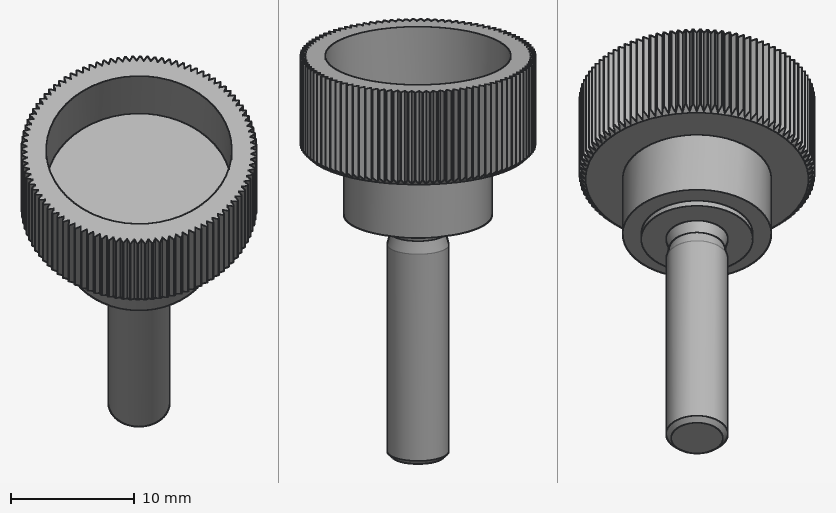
import cadquery as cq
import math

TOTAL_HEIGHT = 34.0
KNOB_DIAMETER = 19.0
KNOB_HEIGHT = 8.0
KNOB_CHAMFER = 0.5

RECESS_DIAMETER = 15.0
RECESS_DEPTH = 5.0

HUB_DIAMETER = 12.0
HUB_HEIGHT = 5.5
SHOULDER_DIAMETER = 9.0
SHOULDER_HEIGHT = 0.5

PIN_DIAMETER = 5.0
PIN_CHAMFER = 0.4
NECK_DIAMETER = 4.5
NECK_HEIGHT = 2.0

GROOVE_COUNT = 100
GROOVE_ANGLE = 60.0
TOOTH_TIP_WIDTH = 0.095

knob_bottom = TOTAL_HEIGHT - KNOB_HEIGHT
hub_bottom = knob_bottom - HUB_HEIGHT
shoulder_bottom = hub_bottom - SHOULDER_HEIGHT
neck_bottom = shoulder_bottom - NECK_HEIGHT


def knurl_outline():
    """Closed toothed outline with a groove bottom on the +X axis."""
    tip_radius = KNOB_DIAMETER / 2
    pitch_angle = 2 * math.pi / GROOVE_COUNT
    half_tip_angle = TOOTH_TIP_WIDTH / KNOB_DIAMETER
    half_groove_angle = pitch_angle / 2 - half_tip_angle
    half_groove_width = tip_radius * math.sin(half_groove_angle)
    groove_depth = half_groove_width / math.tan(math.radians(GROOVE_ANGLE / 2))
    root_radius = tip_radius * math.cos(half_groove_angle) - groove_depth

    points = []
    for index in range(GROOVE_COUNT):
        root_angle = index * pitch_angle
        tooth_angle = root_angle + pitch_angle / 2
        corners = (
            (root_radius, root_angle),
            (tip_radius, tooth_angle - half_tip_angle),
            (tip_radius, tooth_angle + half_tip_angle),
        )
        for radius, angle in corners:
            points.append((radius * math.cos(angle), radius * math.sin(angle)))
    return points


def make_knob():
    """Knurled head, chamfered at its lower rim and recessed from the top."""
    knurled = (
        cq.Workplane("XY")
        .workplane(offset=knob_bottom)
        .polyline(knurl_outline())
        .close()
        .extrude(KNOB_HEIGHT)
    )
    chamfered_envelope = (
        cq.Workplane("XY")
        .workplane(offset=knob_bottom)
        .circle(KNOB_DIAMETER / 2)
        .extrude(KNOB_HEIGHT)
        .faces("<Z")
        .chamfer(KNOB_CHAMFER)
    )
    recess = (
        cq.Workplane("XY")
        .workplane(offset=TOTAL_HEIGHT - RECESS_DEPTH)
        .circle(RECESS_DIAMETER / 2)
        .extrude(RECESS_DEPTH)
    )
    return knurled.intersect(chamfered_envelope).cut(recess)


def make_stem():
    """Pin, waisted neck, shoulder and hub turned from one half profile."""
    pin_radius = PIN_DIAMETER / 2
    waist_radius = NECK_DIAMETER / 2
    waist_level = neck_bottom + NECK_HEIGHT / 2
    return (
        cq.Workplane("XZ")
        .moveTo(0, 0)
        .lineTo(pin_radius - PIN_CHAMFER, 0)
        .lineTo(pin_radius, PIN_CHAMFER)
        .lineTo(pin_radius, neck_bottom)
        .lineTo(waist_radius, waist_level)
        .lineTo(pin_radius, shoulder_bottom)
        .lineTo(SHOULDER_DIAMETER / 2, shoulder_bottom)
        .lineTo(SHOULDER_DIAMETER / 2, hub_bottom)
        .lineTo(HUB_DIAMETER / 2, hub_bottom)
        .lineTo(HUB_DIAMETER / 2, knob_bottom)
        .lineTo(0, knob_bottom)
        .close()
        .revolve(360, (0, 0), (0, 1))
    )


result = make_knob().union(make_stem())